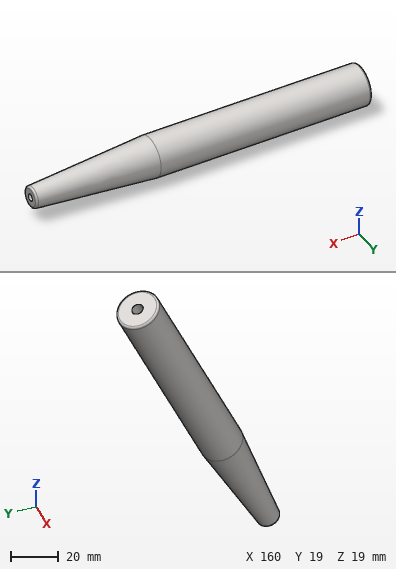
import cadquery as cq

length = 160.0
shank_diameter = 19.0
shank_length = 102.2
tip_diameter = 10.0
edge_radius = 1.0

bore_diameter = 3.2
entry_diameter = 5.0
entry_depth = 16.0


def make_body():
    """Cylindrical shank running into a tapered nose, with rounded end rims."""
    half_profile = (
        cq.Workplane("XY")
        .lineTo(0, shank_diameter / 2)
        .lineTo(shank_length, shank_diameter / 2)
        .lineTo(length, tip_diameter / 2)
        .lineTo(length, 0)
        .close()
    )
    body = half_profile.revolve(360, (0, 0, 0), (1, 0, 0))
    return body.faces("<X or >X").edges().fillet(edge_radius)


def axial_hole(diameter, depth):
    """Cylinder to remove, starting at the shank end."""
    return cq.Workplane("YZ").circle(diameter / 2).extrude(depth)


result = (
    make_body()
    .cut(axial_hole(bore_diameter, length))
    .cut(axial_hole(entry_diameter, entry_depth))
)